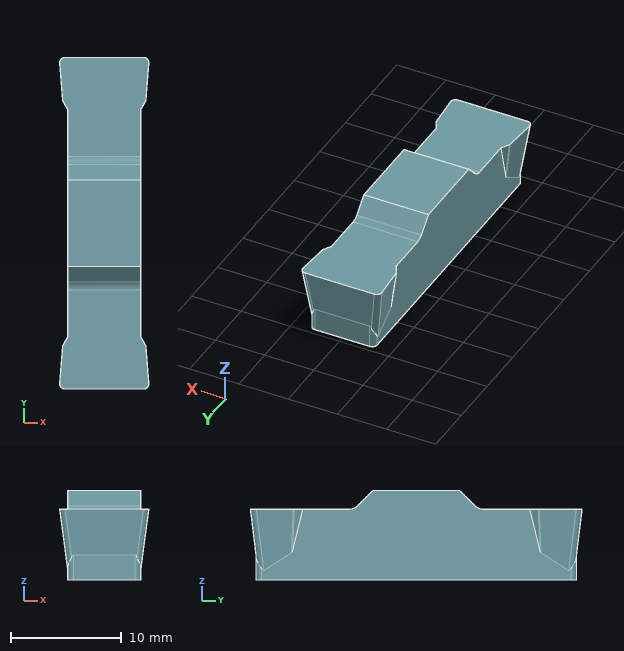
import cadquery as cq
import math

shank_width = 6.58
total_length = 29.92
total_height = 8.08
seat_height = 6.4
corner_radius = 0.5
end_break_height = 2.27
relief_angle = 7.0
end_relief = (seat_height - end_break_height) * math.tan(math.radians(relief_angle))
shank_length = total_length - 2 * end_relief

ridge_top_length = 7.85
ridge_flank_angle = 45.0
ridge_root_radius = 1.0

head_width = 8.15
head_half_width = head_width / 2
head_length = 3.92
side_taper_angle = 4.5
neck_angle = 30.0
neck_radius = 0.25
neck_band = 0.3
neck_overlap = 0.6


def make_shank():
    bar = cq.Workplane("XY").box(shank_width, shank_length, seat_height, centered=(True, True, False))
    return bar.edges("|Z").fillet(corner_radius)


def make_ridge():
    ridge_height = total_height - seat_height
    top_half = ridge_top_length / 2
    foot_half = top_half + ridge_height / math.tan(math.radians(ridge_flank_angle))
    tangent_length = ridge_root_radius * math.tan(math.radians(ridge_flank_angle / 2))
    root_end = foot_half + tangent_length
    arc_mid_run = ridge_root_radius * math.sin(math.radians(ridge_flank_angle / 2))
    arc_mid_rise = ridge_root_radius * (1 - math.cos(math.radians(ridge_flank_angle / 2)))
    flank_start = foot_half - tangent_length * math.cos(math.radians(ridge_flank_angle))
    flank_rise = tangent_length * math.sin(math.radians(ridge_flank_angle))
    arc_mid_y = root_end - arc_mid_run
    arc_mid_z = seat_height + arc_mid_rise
    flank_z = seat_height + flank_rise
    return (
        cq.Workplane("YZ")
        .moveTo(-root_end, seat_height)
        .threePointArc((-arc_mid_y, arc_mid_z), (-flank_start, flank_z))
        .lineTo(-top_half, total_height)
        .lineTo(top_half, total_height)
        .lineTo(flank_start, flank_z)
        .threePointArc((arc_mid_y, arc_mid_z), (root_end, seat_height))
        .close()
        .extrude(shank_width / 2, both=True)
    )


def make_head():
    """Head at the +Y end, drafted inward from its top face down to the base."""
    end_y = total_length / 2
    rear_y = end_y - head_length
    rear_half_width = head_half_width - head_length * math.tan(math.radians(side_taper_angle))
    inner_half_width = shank_width / 2 - neck_overlap
    neck_run = (rear_half_width - inner_half_width) / math.tan(math.radians(neck_angle))
    inner_y = rear_y - neck_run
    outline = [
        (-head_half_width, end_y),
        (-rear_half_width, rear_y),
        (-inner_half_width, inner_y),
        (inner_half_width, inner_y),
        (rear_half_width, rear_y),
        (head_half_width, end_y),
    ]
    head = (
        cq.Workplane("XY")
        .workplane(offset=seat_height)
        .polyline(outline)
        .close()
        .extrude(-seat_height, taper=relief_angle)
    )
    head = head.faces(">Y").edges("not |X").fillet(corner_radius)
    band = cq.selectors.BoxSelector(
        (-head_width, rear_y - neck_band, 0),
        (head_width, rear_y + neck_band, seat_height),
    )
    return head.edges(band).edges("not |X").fillet(neck_radius)


head = make_head()
result = make_shank().union(make_ridge()).union(head).union(head.mirror("XZ"))